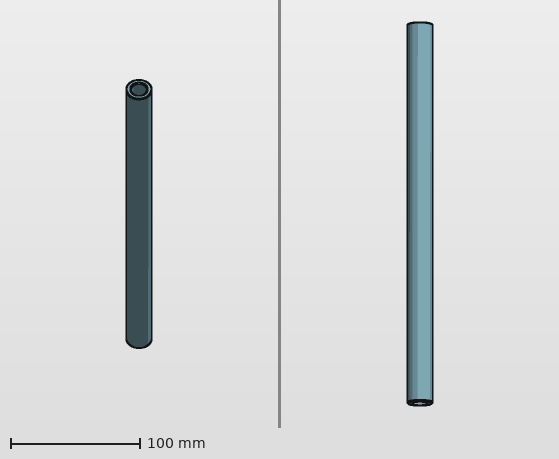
import cadquery as cq

length = 300.0
outer_diameter = 20.0
bore_diameter = 12.0

bottom_chamfer = 1.0
top_chamfer = 0.5
bore_chamfer = 1.0


def tube_body():
    """Round bar with both outer edges chamfered."""
    bar = cq.Workplane("XY").circle(outer_diameter / 2).extrude(length)
    bar = bar.faces("<Z").edges().chamfer(bottom_chamfer)
    return bar.faces(">Z").edges().chamfer(top_chamfer)


def through_bore():
    return cq.Workplane("XY").circle(bore_diameter / 2).extrude(length)


def bore_mouth_chamfer():
    """Cone that breaks the upper edge of the bore."""
    mouth = cq.Workplane("XY").workplane(offset=length)
    return mouth.circle(bore_diameter / 2 + bore_chamfer).extrude(-bore_chamfer, taper=45)


result = tube_body().cut(through_bore()).cut(bore_mouth_chamfer())